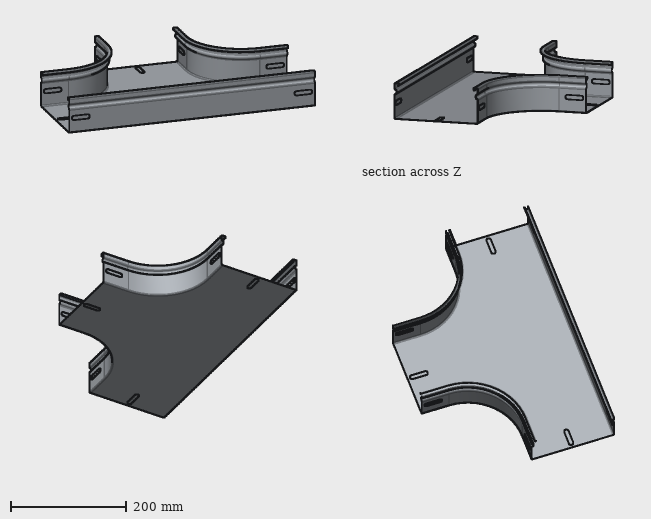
import cadquery as cq
import math

thickness = 1.0
tray_width = 152.4
height = 63.9
bend_radius = 99.3
straight_length = 50.0

branch_reach = bend_radius + straight_length
total_length = tray_width + 2 * branch_reach
total_width = tray_width + branch_reach

x_end = -total_width / 2
x_run = x_end + branch_reach
x_back = total_width / 2
y_branch = tray_width / 2
y_end = total_length / 2

x_corner = x_end + straight_length
y_corner = y_end - straight_length

floor_bend_radius = 2.0
rib_centre_height = 48.3
rib_root_radius = 1.9
rib_crest_radius = 4.5
rib_slope = 66.0
flange_width = 8.8
flange_bend_radius = 1.5
lip_bend_radius = 1.6
lip_drop = 0.8
hook_bend_radius = 0.8
hook_turn = 45.0
hook_length = 2.0

slot_length = 32.5
slot_width = 8.0
slot_end_gap = 5.0
slot_height = 27.0
emboss_depth = 0.2


def strip_side(bends, side):
    """Trace the bent sheet at the given offset to the left of its mid-line.

    Each bend is (straight run before it, turn in degrees, mid-line radius). Lines come
    back as two points and arcs as three.
    """
    x, y = floor_bend_radius + thickness / 2, thickness / 2
    heading = math.pi

    def edge_point():
        return (x - side * math.sin(heading), y + side * math.cos(heading))

    segments = []
    for length, turn, radius in bends:
        start = edge_point()
        x += length * math.cos(heading)
        y += length * math.sin(heading)
        if length > 0:
            segments.append([start, edge_point()])
        if turn == 0:
            continue
        half_turn = math.radians(turn) / 2
        arc = [edge_point()]
        centre_side = math.copysign(radius, turn)
        centre_x = x - centre_side * math.sin(heading)
        centre_y = y + centre_side * math.cos(heading)
        for _ in range(2):
            heading += half_turn
            x = centre_x + centre_side * math.sin(heading)
            y = centre_y - centre_side * math.cos(heading)
            arc.append(edge_point())
        segments.append(arc)
    return segments


def wall_section(plane):
    """Closed section of the wall: x runs inward from the outer face, y runs up."""
    rib_half_height = (rib_root_radius + rib_crest_radius) * math.sin(math.radians(rib_slope))
    lower_run = rib_centre_height - rib_half_height - floor_bend_radius - thickness / 2
    upper_run = height - thickness / 2 - flange_bend_radius - rib_centre_height - rib_half_height
    flange_run = flange_width - thickness - flange_bend_radius - lip_bend_radius
    bends = [
        (0, -90, floor_bend_radius),
        (lower_run, -rib_slope, rib_root_radius),
        (0, 2 * rib_slope, rib_crest_radius),
        (0, -rib_slope, rib_root_radius),
        (upper_run, -90, flange_bend_radius),
        (flange_run, -90, lip_bend_radius),
        (lip_drop, -hook_turn, hook_bend_radius),
        (hook_length, 0, 0),
    ]
    outer = strip_side(bends, thickness / 2)
    inner = strip_side(bends, -thickness / 2)
    segments = outer + [[outer[-1][-1], inner[-1][-1]]]
    segments += [segment[::-1] for segment in inner[::-1]]
    section = cq.Workplane(plane).moveTo(*segments[0][0])
    for segment in segments:
        if len(segment) == 2:
            section = section.lineTo(*segment[1])
        else:
            section = section.threePointArc(segment[1], segment[2])
    return section.close()


def floor():
    """Flat sheet, set in from the side walls by their bottom bend."""
    inset = floor_bend_radius + thickness / 2
    corner_radius = bend_radius + inset
    arc_reach = corner_radius * math.sqrt(0.5)
    outline = (
        cq.Workplane("XY")
        .moveTo(x_back - inset, -y_end)
        .lineTo(x_back - inset, y_end)
        .lineTo(x_run + inset, y_end)
        .lineTo(x_run + inset, y_corner)
        .threePointArc((x_corner + arc_reach, y_corner - arc_reach), (x_corner, y_branch - inset))
        .lineTo(x_end, y_branch - inset)
        .lineTo(x_end, -y_branch + inset)
        .lineTo(x_corner, -y_branch + inset)
        .threePointArc((x_corner + arc_reach, arc_reach - y_corner), (x_run + inset, -y_corner))
        .lineTo(x_run + inset, -y_end)
        .close()
    )
    return outline.extrude(thickness)


def back_wall():
    """Straight wall along the closed side of the tee."""
    plane = cq.Plane(origin=(x_back, y_end, 0), xDir=(-1, 0, 0), normal=(0, 1, 0))
    return wall_section(plane).extrude(-total_length)


def corner_wall():
    """Wall of the -Y corner: straight, quarter bend about the corner axis, straight."""
    branch_plane = cq.Plane(origin=(x_end, -y_branch, 0), xDir=(0, 1, 0), normal=(1, 0, 0))
    run_plane = cq.Plane(origin=(x_run, -y_end, 0), xDir=(1, 0, 0), normal=(0, -1, 0))
    bend_plane = cq.Plane(origin=(x_run, -y_corner, 0), xDir=(1, 0, 0), normal=(0, -1, 0))
    axis_start = (-bend_radius, 0)
    axis_end = (-bend_radius, 1)
    bend = wall_section(bend_plane).revolve(90, axis_start, axis_end)
    branch = wall_section(branch_plane).extrude(straight_length)
    run = wall_section(run_plane).extrude(-straight_length)
    return branch.union(bend).union(run)


def slot_sites():
    """Outer-face centre, long direction and outward direction of every embossed slot."""
    slot_inset = slot_end_gap + slot_length / 2
    x_slot = x_end + slot_inset
    y_slot = y_end - slot_inset
    x_middle = (x_run + x_back) / 2
    sites = [((x_slot, 0, 0), (1, 0, 0), (0, 0, -1))]
    for side in (-1, 1):
        sites += [
            ((x_slot, side * y_branch, slot_height), (1, 0, 0), (0, side, 0)),
            ((x_run, side * y_slot, slot_height), (0, 1, 0), (-1, 0, 0)),
            ((x_back, side * y_slot, slot_height), (0, 1, 0), (1, 0, 0)),
            ((x_middle, side * y_slot, 0), (0, 1, 0), (0, 0, -1)),
        ]
    return sites


def emboss_slot(body, centre, along, outward):
    """Push a slot-shaped patch of the sheet outward: raised outside, recessed inside."""
    plane = cq.Plane(origin=centre, xDir=along, normal=outward)
    pad = cq.Workplane(plane).slot2D(slot_length, slot_width).extrude(emboss_depth)
    inner_face = cq.Workplane(plane).workplane(offset=-thickness)
    recess = inner_face.slot2D(slot_length, slot_width).extrude(emboss_depth)
    return body.union(pad).cut(recess)


corner = corner_wall()
result = floor().union(back_wall()).union(corner).union(corner.mirror("XZ"))
for centre, along, outward in slot_sites():
    result = emboss_slot(result, centre, along, outward)